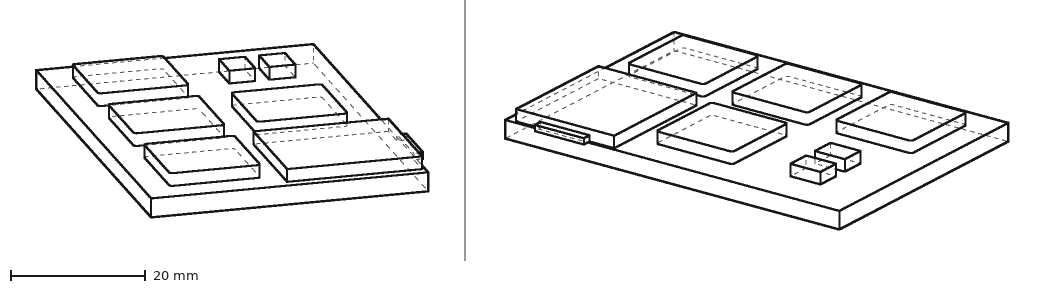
import cadquery as cq

board_length = 61.27
board_width = 42.88
board_thickness = 3.0

component_height = 2.0

key_pitch = 19.05
key_size = 14.0
key_corner_radius = 0.5
key_middle_x = 30.6
key_front_y = 11.25

light_length = 5.5
light_width = 4.0
light_pitch = 6.2
light_x = 11.15
light_pair_y = 30.95

controller_length = 18.0
controller_width = 20.9
controller_x = 50.6
controller_back_gap = 0.45
connector_length = 9.0
connector_height = 1.0
connector_overhang = 1.0


def block(length, width, height, x, y):
    """Box standing on the board top, centred on (x, y)."""
    box = cq.Workplane("XY").box(length, width, height, centered=(True, True, False))
    return box.translate((x, y, board_thickness))


def make_board():
    """Plate with the two light blocks raised from its top face."""
    board = cq.Workplane("XY").box(board_length, board_width, board_thickness, centered=False)
    for side in (-1, 1):
        light_y = light_pair_y + side * light_pitch / 2
        board = board.union(block(light_length, light_width, component_height, light_x, light_y))
    return board


def make_key(column, row):
    """Key switch body with rounded upright corners; column 0 is the middle one, row 0 the front one."""
    x = key_middle_x + column * key_pitch
    y = key_front_y + row * key_pitch
    return block(key_size, key_size, component_height, x, y).edges("|Z").fillet(key_corner_radius)


def make_controller():
    """Module block with a thin connector tongue out of its back face."""
    back_y = board_width - controller_back_gap
    body = block(controller_length, controller_width, component_height,
                 controller_x, back_y - controller_width / 2)
    tongue_width = controller_back_gap + connector_overhang
    tongue = block(connector_length, tongue_width, connector_height,
                   controller_x, back_y + tongue_width / 2)
    return body.union(tongue)


board = make_board()
controller = make_controller()

key_positions = [(-1, 0), (0, 0), (1, 0), (0, 1)]
keys = [make_key(column, row) for column, row in key_positions]

result = cq.Compound.makeCompound([board.val(), controller.val(), *[key.val() for key in keys]])